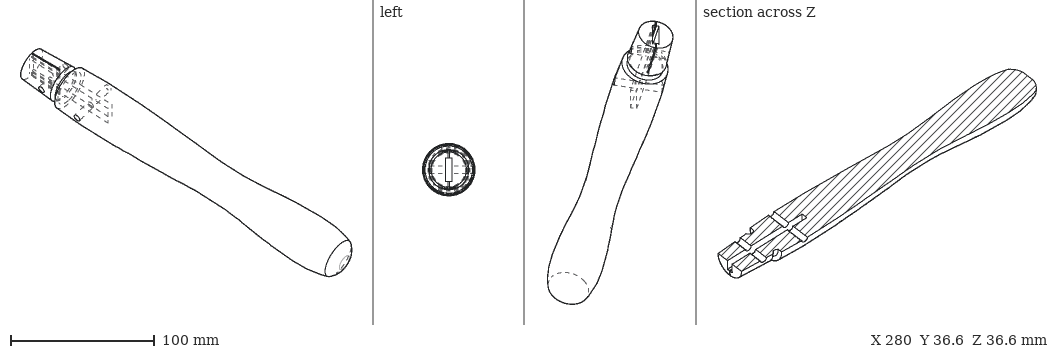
import cadquery as cq

length = 280.0
max_radius = 18.28

tip_radius = 12.3
ferrule_end = 28.0
ferrule_end_radius = 14.0
neck_start = 30.5
neck_radius = 11.8
neck_mid_x = 32.5
neck_mid_radius = 12.0
grip_start = 34.0
neck_flare_radius = 13.0

grip_front_radius = 16.5
front_swell_x = 50.5
front_swell_radius = 17.5
waist_x = 169.5
waist_radius = 13.2
rear_swell_x = 243.5
cap_start = 274.5
cap_radius = 14.5
cap_mid_x = 278.0
cap_mid_radius = 10.5
end_flat_radius = 5.5

tang_width = 4.5
tang_height = 16.2
tang_depth = 70.0
slit_width = 0.8
slit_depth = 25.2
pin_diameter = 5.0
pin_positions = (19.5, 54.5)


def handle_body():
    """Revolve the half profile about the X axis."""
    grip_points = [
        (front_swell_x, front_swell_radius),
        (109.2, 16.2),
        (140.0, 14.5),
        (waist_x, waist_radius),
        (193.2, 14.3),
        (218.5, 16.8),
        (rear_swell_x, max_radius),
        (264.5, 17.0),
        (cap_start, cap_radius),
    ]
    profile = (
        cq.Workplane("XY")
        .lineTo(0, tip_radius)
        .lineTo(ferrule_end, ferrule_end_radius)
        .lineTo(neck_start, neck_radius)
        .threePointArc((neck_mid_x, neck_mid_radius), (grip_start, neck_flare_radius))
        .lineTo(grip_start, grip_front_radius)
        .spline(grip_points, includeCurrent=True)
        .threePointArc((cap_mid_x, cap_mid_radius), (length, end_flat_radius))
        .lineTo(length, 0)
        .close()
    )
    return profile.revolve(360, (0, 0, 0), (1, 0, 0))


def front_slot(depth, width, height):
    """Rectangular cutter entering the ferrule face along +X."""
    return cq.Workplane("YZ").rect(width, height).extrude(depth)


def pin_hole(x):
    """Cylindrical cutter crossing the whole handle along Y."""
    return (
        cq.Workplane("XZ")
        .center(x, 0)
        .circle(pin_diameter / 2)
        .extrude(max_radius, both=True)
    )


result = handle_body()
result = result.cut(front_slot(tang_depth, tang_width, tang_height))
result = result.cut(front_slot(slit_depth, slit_width, 2 * ferrule_end_radius))
for pin_x in pin_positions:
    result = result.cut(pin_hole(pin_x))